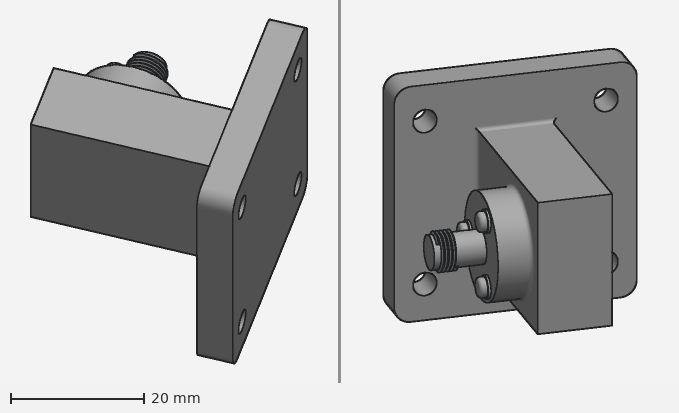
import cadquery as cq
import math


flange_side = 38.1
flange_thickness = 5.65
flange_corner_radius = 2.6
flange_hole_diameter = 3.7
flange_hole_spacing_y = 28.45
flange_hole_spacing_z = 26.37

total_length = 35.8
body_length = total_length - flange_thickness
body_width = 11.7
body_height = 21.3
joint_fillet = 0.6

launcher_from_end = 10.9
launcher_x = launcher_from_end - body_length
disc_diameter = 17.0
disc_base_y = body_width / 2
disc_height = 5.5
disc_top_y = disc_base_y + disc_height

overall_width = 38.6
tip_y = overall_width - flange_side / 2
connector_radius = 5.4 / 2
connector_length = tip_y - disc_top_y

thread_crest_radius = 6.35 / 2
thread_pitch = 0.6
thread_turns = 4.75
thread_base_width = 0.55
thread_sink = 0.05
thread_start_height = 4.48
thread_start_angle = 135

screw_count = 3
screw_circle_radius = 6.15
collar_diameter = 3.65
collar_height = 0.42
head_diameter = 3.2
head_height = 1.62
head_round = 0.58


def make_flange():
    plate = (
        cq.Workplane("YZ")
        .rect(flange_side, flange_side)
        .extrude(flange_thickness)
        .edges("|X")
        .fillet(flange_corner_radius)
    )
    holes = (
        cq.Workplane("YZ")
        .rect(flange_hole_spacing_y, flange_hole_spacing_z, forConstruction=True)
        .vertices()
        .circle(flange_hole_diameter / 2)
        .extrude(flange_thickness)
    )
    return plate.cut(holes)


def make_body():
    return cq.Workplane("YZ").rect(body_width, body_height).extrude(-body_length)


def make_disc():
    """Disc along local +Z, standing on the local XY plane."""
    return cq.Workplane("XY").circle(disc_diameter / 2).extrude(disc_height)


def make_thread():
    """Triangular ridge wound around local Z, with its root sunk into the connector."""
    root_radius = connector_radius - thread_sink
    half_base = thread_base_width / 2
    path = cq.Wire.makeHelix(
        thread_pitch, thread_pitch * thread_turns, root_radius, lefthand=True
    )
    ridge = (
        cq.Workplane("XZ")
        .moveTo(root_radius, -half_base)
        .lineTo(thread_crest_radius, 0)
        .lineTo(root_radius, half_base)
        .close()
        .sweep(cq.Workplane(path), isFrenet=True)
    )
    ridge = ridge.rotate((0, 0, 0), (0, 0, 1), thread_start_angle)
    return ridge.translate((0, 0, thread_start_height))


def make_connector():
    """Threaded coaxial connector along local +Z."""
    barrel = cq.Workplane("XY").circle(connector_radius).extrude(connector_length)
    return barrel.union(make_thread())


def make_screw():
    """Collared screw head along local +Z."""
    head = (
        cq.Workplane("XY")
        .circle(head_diameter / 2)
        .extrude(head_height)
        .faces(">Z")
        .edges()
        .fillet(head_round)
    )
    return head.union(cq.Workplane("XY").circle(collar_diameter / 2).extrude(collar_height))


def on_launcher(part, base_y):
    """Turn local +Z to +Y and move the part to the launcher axis at height base_y."""
    return part.rotate((0, 0, 0), (1, 0, 0), -90).translate((launcher_x, base_y, 0))


def fillet_joint(part):
    """Concave fillet where the four body walls meet the flange."""
    reach_y = body_width / 2 + joint_fillet
    reach_z = body_height / 2 + joint_fillet
    around_joint = cq.selectors.BoxSelector(
        (-joint_fillet, -reach_y, -reach_z),
        (joint_fillet, reach_y, reach_z),
    )
    return part.edges(around_joint).fillet(joint_fillet)


def fillet_disc_foot(part):
    """Concave fillet where the disc meets the body wall."""
    foot_point = (launcher_x, disc_base_y, disc_diameter / 2)
    return part.edges("%CIRCLE").edges(cq.selectors.NearestToPointSelector(foot_point)).fillet(joint_fillet)


result = fillet_joint(make_flange().union(make_body()))

result = fillet_disc_foot(result.union(on_launcher(make_disc(), disc_base_y)))

result = result.union(on_launcher(make_connector(), disc_top_y))
for index in range(screw_count):
    angle = math.radians(index * 360 / screw_count)
    offset = (screw_circle_radius * math.cos(angle), screw_circle_radius * math.sin(angle), 0)
    result = result.union(on_launcher(make_screw().translate(offset), disc_top_y))